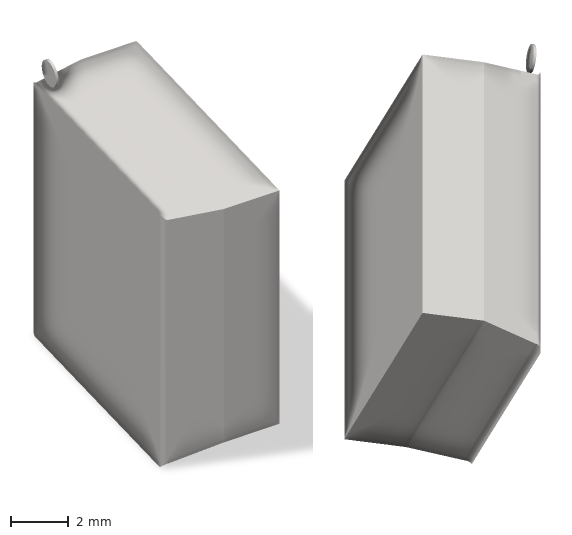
import cadquery as cq
import math

width = 10.0
depth = 4.4
total_height = 12.39

back_height = 10.0
back_bottom = 0.66
back_top = back_bottom + back_height
straight_depth = 2.2
taper_depth = depth - straight_depth
taper_slope = 0.2
corner_radius = 0.21
flare_radius = 0.22

pin_count = 3
pin_pitch = 2.54
pin_width = 0.55
pin_depth = 0.77

insert_depth = 1.29
insert_height = 5.48

disc_diameter = 1.0
disc_thickness = 0.1
disc_x = -3.37
disc_z = total_height - disc_diameter / 2


def make_plan():
    """Straight rear half and tapered front half with rounded front edges."""
    half_width = width / 2
    front_half_width = half_width - taper_slope * taper_depth
    return (
        cq.Workplane("XY")
        .moveTo(-half_width, depth)
        .lineTo(half_width, depth)
        .lineTo(half_width, taper_depth)
        .lineTo(front_half_width, 0)
        .lineTo(-front_half_width, 0)
        .lineTo(-half_width, taper_depth)
        .close()
        .extrude(total_height)
        .faces("<Y")
        .edges("|Z")
        .fillet(corner_radius)
    )


def make_side_profile():
    """Flat top, tapered underside and a quarter-round flare at each front end."""
    diagonal = flare_radius * math.sqrt(0.5)
    return (
        cq.Workplane("YZ")
        .moveTo(depth, back_bottom)
        .lineTo(depth, back_top)
        .lineTo(flare_radius, back_top)
        .threePointArc(
            (flare_radius - diagonal, back_top + flare_radius - diagonal),
            (0, back_top + flare_radius),
        )
        .lineTo(0, 0)
        .threePointArc(
            (flare_radius - diagonal, diagonal),
            (flare_radius, flare_radius),
        )
        .lineTo(taper_depth, back_bottom)
        .close()
        .extrude(width / 2, both=True)
    )


def make_pin(x):
    """Rectangular bar through the full height, trimmed flush with the housing."""
    bar = (
        cq.Workplane("XY")
        .center(x, taper_depth)
        .rect(pin_width, pin_depth)
        .extrude(total_height)
    )
    return bar.intersect(envelope)


def make_insert():
    """Full-width block flush with the back, sides and underside of the housing."""
    return cq.Workplane("XY").box(
        width, insert_depth, insert_height, centered=(True, False, False)
    ).translate((0, depth - insert_depth, back_bottom))


def make_marker_disc():
    """Thin disc above the housing, level with its front face."""
    return (
        cq.Workplane("XZ")
        .center(disc_x, disc_z)
        .circle(disc_diameter / 2)
        .extrude(-disc_thickness)
    )


envelope = make_plan().intersect(make_side_profile())

insert = make_insert()
pins = [make_pin((i - (pin_count - 1) / 2) * pin_pitch) for i in range(pin_count)]
marker_disc = make_marker_disc()

housing = envelope.cut(insert)
for pin in pins:
    housing = housing.cut(pin)

bodies = [housing, insert, *pins, marker_disc]
result = cq.Compound.makeCompound([body.solids().val() for body in bodies])